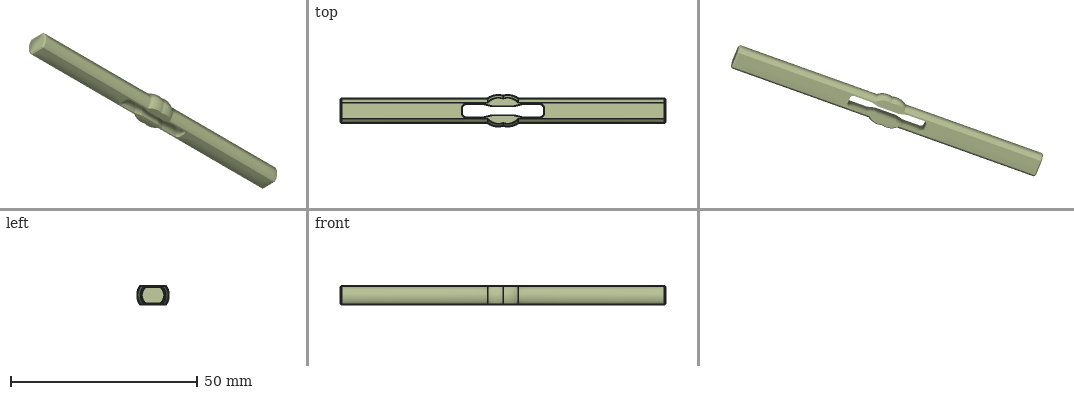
import cadquery as cq

length = 87.5
bar_radius = 3.3
thickness = 5.0
end_chamfer = 0.35

bulge_half_length = 4.1
bulge_radius = 4.3
lobe_peak_x = 1.3
waist_radius = 4.1

slot_length = 22.0
slot_width = 3.4
slot_corner_radius = 1.0
neck_width = 2.4
neck_half_length = 3.0
ramp_end_x = 5.1

slab_width = 3 * bulge_radius


def cut_to_flats(body):
    """Keep only the part of a round body between the two flats."""
    slab = cq.Workplane("XY").box(length, slab_width, thickness)
    return body.intersect(slab)


def make_bar():
    rod = cq.Workplane("YZ").circle(bar_radius).extrude(length / 2, both=True)
    return cut_to_flats(rod).faces("<X or >X").chamfer(end_chamfer)


def make_bulge():
    """Revolve a profile of two arcs that meet in a slight dip at the centre."""
    profile = (
        cq.Workplane("XZ")
        .moveTo(-bulge_half_length, 0)
        .lineTo(-bulge_half_length, bar_radius)
        .threePointArc((-lobe_peak_x, bulge_radius), (0, waist_radius))
        .threePointArc((lobe_peak_x, bulge_radius), (bulge_half_length, bar_radius))
        .lineTo(bulge_half_length, 0)
        .close()
    )
    return cut_to_flats(profile.revolve(360, (0, 0, 0), (1, 0, 0)))


def make_neck_side(side):
    """One wall insert that narrows the slot, with a ramp at each end."""
    wall_y = side * slot_width / 2
    neck_y = side * neck_width / 2
    return (
        cq.Workplane("XY")
        .polyline([
            (-ramp_end_x, wall_y),
            (-neck_half_length, neck_y),
            (neck_half_length, neck_y),
            (ramp_end_x, wall_y),
        ])
        .close()
        .extrude(thickness / 2, both=True)
    )


def make_slot():
    slot = (
        cq.Workplane("XY")
        .box(slot_length, slot_width, thickness)
        .edges("|Z")
        .fillet(slot_corner_radius)
    )
    for side in (-1, 1):
        slot = slot.cut(make_neck_side(side))
    return slot


result = make_bar().union(make_bulge()).cut(make_slot())